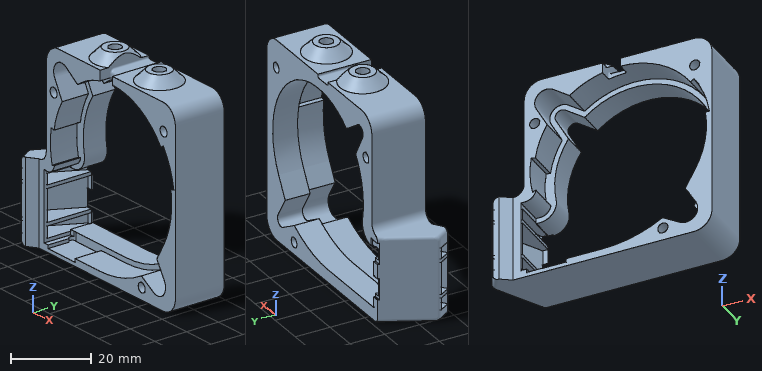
import cadquery as cq
import math

WIDTH = 62.4
DEPTH = 15.5
FRAME_TOP = 56.8
FRAME_LEFT = 9.8
CORNER_RADIUS = 5.0
MARGIN = 3.1

NOZZLE_TOP = 24.3
NOZZLE_PROUD = 2.0
NOZZLE_CORNER_X = -0.145
NOZZLE_CORNER_Y = 1.55
NOZZLE_TIP_LEFT = 2.1
NOZZLE_TIP_RIGHT = 3.9
NOZZLE_FRONT_X = 6.75
NOZZLE_BACK_X = 7.1
NOZZLE_BLEND = 3.0
SIDE_ROUND = 1.0
TIP_ROUND = 1.45

DUCT_INNER_X = 8.9
DUCT_BOTTOM = 3.2
DUCT_TOP = 20.8
DUCT_BACK = 15.0
DUCT_FRONT = 1.0
DUCT_SKIN = 0.53
DUCT_CURVE_MID = (5.3, 0.05)
VANE_THICKNESS = 1.0
VANE_BOTTOMS = (6.5, 16.65)
NOTCH_HEIGHT = 6.0
NOTCH_BOTTOMS = (6.6, 16.65)
NOTCH_END_X = 10.3

BORE_X = 36.75
BORE_Z = 30.3
BORE_RADIUS = 22.6
BORE_FLOOR = 3.7
OUTLET_TOP = 20.55
THROAT_RADIUS = 4.55
FLOOR_FLAT_END_X = 31.7
RIGHT_TANGENT_ANGLE = -30.0
TOP_ARC_MID_ANGLE = 45.0
LEFT_ARC_MID_ANGLE = 170.0
RECESS_OFFSET = 1.5
RECESS_DEPTH = 8.3

LOWER_EAR = ((48.55, 8.35), (53.1, 13.35), (55.1, 6.75))
UPPER_EAR = ((22.6, 47.9), (18.05, 42.95), (16.1, 50.1))
EAR_TIP_RADIUS = 1.8

POCKET_RADIUS = 25.3
POCKET_ANGLES = ((9.3, 35.3), (170.7, 193.5))
FLOOR_POCKET_X = (10.55, 21.55)
FLOOR_POCKET_Z = 1.2

GROOVE_DIAMETER = 1.8
GROOVE_X = 10.75
GROOVE_WIDTH = 0.9

SCREW_DIAMETER = 2.8
SCREW_CENTRES = ((12.8, 44.3), (57.6, 48.85), (48.7, 3.5))

BOSS_HEIGHT = 3.0
BOSS_BASE_RADIUS = 6.5
BOSS_TOP_RADIUS = 3.5
BOSS_HOLE_DIAMETER = 3.6
BOSS_Y = 7.75
BOSS_XS = (27.85, 45.95)

GAP_LEFT = 31.75
GAP_RIGHT = 36.75
BRIDGE_TOP = 55.85
BRIDGE_FRONT = 3.5
BRIDGE_ROUND = 1.0
BRIDGE_SIDE_FILLET = 0.5


def extrude_y(sketch, y_start, y_end):
    """Extrude an XZ sketch from y_start to y_end."""
    return sketch.extrude(y_start - y_end).translate((0, y_start, 0))


def box(x_range, y_range, z_range):
    """Axis-aligned box given by its limits."""
    size = [high - low for low, high in (x_range, y_range, z_range)]
    return cq.Workplane("XY").box(*size, centered=False).translate((x_range[0], y_range[0], z_range[0]))


def round_edges(solid, points, radius):
    """Fillet together the edges whose centres lie nearest to the given points."""
    edges = solid.newObject([])
    for point in points:
        edges = edges.add(solid.edges(cq.selectors.NearestToPointSelector(point)))
    return edges.fillet(radius)


def polar(angle, radius):
    """Point at an angle and radius around the bore axis."""
    turn = math.radians(angle)
    return (BORE_X + radius * math.cos(turn), BORE_Z + radius * math.sin(turn))


def make_body():
    """Frame and nozzle: the front outline trimmed by the plan outline."""
    front = (
        cq.Workplane("XZ")
        .moveTo(NOZZLE_CORNER_X, 0)
        .lineTo(WIDTH - CORNER_RADIUS, 0)
        .radiusArc((WIDTH, CORNER_RADIUS), -CORNER_RADIUS)
        .lineTo(WIDTH, FRAME_TOP - CORNER_RADIUS)
        .radiusArc((WIDTH - CORNER_RADIUS, FRAME_TOP), -CORNER_RADIUS)
        .lineTo(FRAME_LEFT + CORNER_RADIUS, FRAME_TOP)
        .radiusArc((FRAME_LEFT, FRAME_TOP - CORNER_RADIUS), -CORNER_RADIUS)
        .lineTo(FRAME_LEFT, NOZZLE_TOP + NOZZLE_BLEND)
        .radiusArc((FRAME_LEFT - NOZZLE_BLEND, NOZZLE_TOP), NOZZLE_BLEND)
        .lineTo(NOZZLE_CORNER_X, NOZZLE_TOP)
        .close()
    )
    plan = cq.Workplane("XY").polyline([
        (NOZZLE_CORNER_X, NOZZLE_CORNER_Y),
        (NOZZLE_TIP_LEFT, -NOZZLE_PROUD),
        (NOZZLE_TIP_RIGHT, -NOZZLE_PROUD),
        (NOZZLE_FRONT_X, 0),
        (WIDTH, 0),
        (WIDTH, DEPTH),
        (NOZZLE_BACK_X, DEPTH),
    ]).close()
    body = extrude_y(front, -NOZZLE_PROUD, DEPTH).intersect(plan.extrude(FRAME_TOP))

    tip_middle = ((NOZZLE_CORNER_X + NOZZLE_TIP_LEFT) / 2, (NOZZLE_CORNER_Y - NOZZLE_PROUD) / 2)
    side_middle = ((NOZZLE_CORNER_X + NOZZLE_BACK_X) / 2, (NOZZLE_CORNER_Y + DEPTH) / 2)
    corner_middle = (NOZZLE_CORNER_X, NOZZLE_CORNER_Y, NOZZLE_TOP / 2)
    body = round_edges(body, [(*tip_middle, z) for z in (0, NOZZLE_TOP)], TIP_ROUND)
    return round_edges(body, [(*side_middle, z) for z in (0, NOZZLE_TOP)] + [corner_middle], SIDE_ROUND)


def tangent_point(point, centre, radius, side):
    """Where the line from a point touches a circle; side is +1 or -1."""
    dx = point[0] - centre[0]
    dz = point[1] - centre[1]
    angle = math.atan2(dz, dx) + side * math.acos(radius / math.hypot(dx, dz))
    return (centre[0] + radius * math.cos(angle), centre[1] + radius * math.sin(angle))


def add_ear(sketch, ear):
    """Continue an outline from the first apex of an ear, round its tip, to the second apex."""
    first, second, tip = ear
    out_x = tip[0] - (first[0] + second[0]) / 2
    out_z = tip[1] - (first[1] + second[1]) / 2
    reach = EAR_TIP_RADIUS / math.hypot(out_x, out_z)
    return (
        sketch.lineTo(*tangent_point(first, tip, EAR_TIP_RADIUS, 1))
        .threePointArc(
            (tip[0] + out_x * reach, tip[1] + out_z * reach),
            tangent_point(second, tip, EAR_TIP_RADIUS, -1),
        )
        .lineTo(*second)
    )


def bore_outline():
    """Scroll-shaped opening with two ears and an outlet to the left."""
    throat_z = OUTLET_TOP + THROAT_RADIUS
    centre_distance = BORE_RADIUS + THROAT_RADIUS
    throat_x = BORE_X - math.sqrt(centre_distance ** 2 - (BORE_Z - throat_z) ** 2)
    throat_dip = math.asin((BORE_Z - throat_z) / centre_distance)
    throat_joint = polar(180 + math.degrees(throat_dip), BORE_RADIUS)
    throat_turn = (throat_dip - math.pi / 2) / 2
    throat_mid = (
        throat_x + THROAT_RADIUS * math.cos(throat_turn),
        throat_z + THROAT_RADIUS * math.sin(throat_turn),
    )
    outlet_end = DUCT_INNER_X - MARGIN

    sketch = cq.Workplane("XZ").moveTo(outlet_end, BORE_FLOOR).lineTo(FLOOR_FLAT_END_X, BORE_FLOOR)
    sketch = add_ear(sketch.tangentArcPoint(LOWER_EAR[0], relative=False), LOWER_EAR)
    sketch = sketch.lineTo(*polar(RIGHT_TANGENT_ANGLE, BORE_RADIUS))
    sketch = add_ear(sketch.threePointArc(polar(TOP_ARC_MID_ANGLE, BORE_RADIUS), UPPER_EAR[0]), UPPER_EAR)
    return (
        sketch.threePointArc(polar(LEFT_ARC_MID_ANGLE, BORE_RADIUS), throat_joint)
        .threePointArc(throat_mid, (throat_x, OUTLET_TOP))
        .lineTo(outlet_end, OUTLET_TOP)
        .close()
    )


def ring_pocket(start, end):
    """Shallow arc-shaped pocket just outside the bore."""
    middle = (start + end) / 2
    sketch = (
        cq.Workplane("XZ")
        .moveTo(*polar(start, BORE_RADIUS))
        .lineTo(*polar(start, POCKET_RADIUS))
        .threePointArc(polar(middle, POCKET_RADIUS), polar(end, POCKET_RADIUS))
        .lineTo(*polar(end, BORE_RADIUS))
        .close()
    )
    return extrude_y(sketch, 0, RECESS_DEPTH)


def make_opening():
    """Bore through the frame, wider in the front recess."""
    bore = extrude_y(bore_outline(), -MARGIN, DEPTH + MARGIN)
    recess = extrude_y(bore_outline().offset2D(RECESS_OFFSET), -MARGIN, RECESS_DEPTH)
    keep = box((DUCT_INNER_X, WIDTH), (-MARGIN, DEPTH + MARGIN), (0, FRAME_TOP))
    opening = bore.union(recess).intersect(keep)
    for start, end in POCKET_ANGLES:
        opening = opening.union(ring_pocket(start, end))
    return opening.union(box(FLOOR_POCKET_X, (0, RECESS_DEPTH), (FLOOR_POCKET_Z, BORE_FLOOR)))


def make_groove():
    """Upright cylinder that bites into the ledge between the recess and the bore."""
    radius = GROOVE_DIAMETER / 2
    axis_y = RECESS_DEPTH - math.sqrt(radius ** 2 - (GROOVE_WIDTH / 2) ** 2)
    base = cq.Workplane("XY", origin=(GROOVE_X, axis_y, FLOOR_POCKET_Z))
    return base.circle(radius).extrude(BORE_FLOOR - FLOOR_POCKET_Z)


def make_duct():
    """Curved air passage from the bore to the nozzle tip, split by two vanes."""
    slope = (NOZZLE_BACK_X - NOZZLE_CORNER_X) / (DEPTH - NOZZLE_CORNER_Y)
    skin_x = DUCT_SKIN * math.hypot(1, slope)

    def inner_x(y):
        return NOZZLE_CORNER_X + slope * (y - NOZZLE_CORNER_Y) + skin_x

    sketch = (
        cq.Workplane("XY")
        .moveTo(NOZZLE_TIP_LEFT, -NOZZLE_PROUD)
        .threePointArc(DUCT_CURVE_MID, (DUCT_INNER_X, DUCT_FRONT))
        .lineTo(DUCT_INNER_X, DUCT_BACK)
        .lineTo(inner_x(DUCT_BACK), DUCT_BACK)
        .lineTo(inner_x(-NOZZLE_PROUD), -NOZZLE_PROUD)
        .close()
    )
    duct = sketch.extrude(DUCT_TOP - DUCT_BOTTOM).translate((0, 0, DUCT_BOTTOM))
    for z in VANE_BOTTOMS:
        duct = duct.cut(box((-MARGIN, DUCT_INNER_X), (-MARGIN, DEPTH), (z, z + VANE_THICKNESS)))
    return duct


def make_gap():
    """Gap in the top wall above and in front of the bridge bar."""
    high = FRAME_TOP + BOSS_HEIGHT
    low = BORE_Z + BORE_RADIUS
    gap = (
        cq.Workplane("YZ", origin=(GAP_LEFT, 0, 0))
        .moveTo(-MARGIN, low)
        .lineTo(BRIDGE_FRONT, low)
        .lineTo(BRIDGE_FRONT, BRIDGE_TOP - BRIDGE_ROUND)
        .radiusArc((BRIDGE_FRONT + BRIDGE_ROUND, BRIDGE_TOP), BRIDGE_ROUND)
        .lineTo(DEPTH + MARGIN, BRIDGE_TOP)
        .lineTo(DEPTH + MARGIN, high)
        .lineTo(-MARGIN, high)
        .close()
        .extrude(GAP_RIGHT - GAP_LEFT)
    )
    floor_middle_y = (BRIDGE_FRONT + DEPTH) / 2
    bar_sides = [(x, floor_middle_y, BRIDGE_TOP) for x in (GAP_LEFT, GAP_RIGHT)]
    return round_edges(gap, bar_sides, BRIDGE_SIDE_FILLET)


def make_boss(x):
    """Conical boss standing on the top face."""
    return (
        cq.Workplane("XY", origin=(x, BOSS_Y, FRAME_TOP))
        .circle(BOSS_BASE_RADIUS)
        .workplane(offset=BOSS_HEIGHT)
        .circle(BOSS_TOP_RADIUS)
        .loft(ruled=True)
    )


def make_boss_hole(x):
    """Blind hole down the axis of a boss."""
    return cq.Workplane("XY", origin=(x, BOSS_Y, FRAME_TOP)).circle(BOSS_HOLE_DIAMETER / 2).extrude(BOSS_HEIGHT)


result = make_body().cut(make_opening()).cut(make_groove()).cut(make_duct())

for notch_z in NOTCH_BOTTOMS:
    result = result.cut(box((0, NOTCH_END_X), (DUCT_BACK, DEPTH), (notch_z, notch_z + NOTCH_HEIGHT)))

for boss_x in BOSS_XS:
    result = result.union(make_boss(boss_x)).cut(make_boss_hole(boss_x))

result = result.cut(make_gap())

screws = cq.Workplane("XZ").pushPoints(SCREW_CENTRES).circle(SCREW_DIAMETER / 2)
result = result.cut(extrude_y(screws, 0, DEPTH))